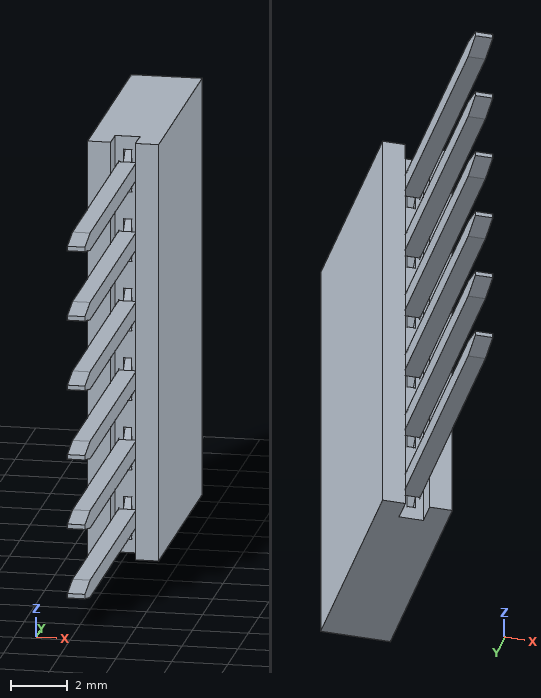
import cadquery as cq

PIN_COUNT = 6
PITCH = 2.54
HOUSING_WIDTH = PITCH
HOUSING_HEIGHT = PIN_COUNT * PITCH
HOUSING_DEPTH = 8.5
GROOVE_WIDTH = 0.88
GROOVE_DEPTH = 0.86

TOTAL_DEPTH = 17.64
TIP_Y = HOUSING_DEPTH - TOTAL_DEPTH
PIN_SIZE = 0.64
TIP_LENGTH = 1.0
TIP_HEIGHT = 0.171

CONTACT_HEIGHT = 1.55
SHOULDER_END_Y = GROOVE_DEPTH + (CONTACT_HEIGHT - PIN_SIZE) / 2
CONTACT_END_Y = 3.53

SLOT_WIDTH = 0.3

PIN_HEIGHTS = [(i - (PIN_COUNT - 1) / 2) * PITCH for i in range(PIN_COUNT)]


def make_pin(z):
    """Contact pin of constant width: chisel tip, shank, sloped shoulders, contact block."""
    upper_edge = [
        (TIP_Y, TIP_HEIGHT / 2),
        (TIP_Y + TIP_LENGTH, PIN_SIZE / 2),
        (GROOVE_DEPTH, PIN_SIZE / 2),
        (SHOULDER_END_Y, CONTACT_HEIGHT / 2),
        (CONTACT_END_Y, CONTACT_HEIGHT / 2),
    ]
    lower_edge = [(y, -height) for y, height in reversed(upper_edge)]
    profile = cq.Workplane("YZ").polyline(upper_edge + lower_edge).close()
    return profile.extrude(PIN_SIZE / 2, both=True).translate((0, 0, z))


def make_front_box(width, start_y, end_y, height, z=0):
    """Box centred on X = 0 and on the given Z, between two Y positions."""
    box = cq.Workplane("XY").box(width, end_y - start_y, height, centered=(True, False, True))
    return box.translate((0, start_y, z))


def make_housing():
    """Block with a full-height groove, and a slot and a fitted pin cavity at each pin."""
    block = make_front_box(HOUSING_WIDTH, 0, HOUSING_DEPTH, HOUSING_HEIGHT)
    groove = make_front_box(GROOVE_WIDTH, 0, GROOVE_DEPTH, HOUSING_HEIGHT)
    body = block.cut(groove)
    for z in PIN_HEIGHTS:
        slot = make_front_box(SLOT_WIDTH, GROOVE_DEPTH, SHOULDER_END_Y, CONTACT_HEIGHT, z)
        body = body.cut(slot).cut(make_pin(z))
    return body


housing = make_housing()
pins = [make_pin(z) for z in PIN_HEIGHTS]

result = cq.Compound.makeCompound([housing.val(), *[pin.val() for pin in pins]])